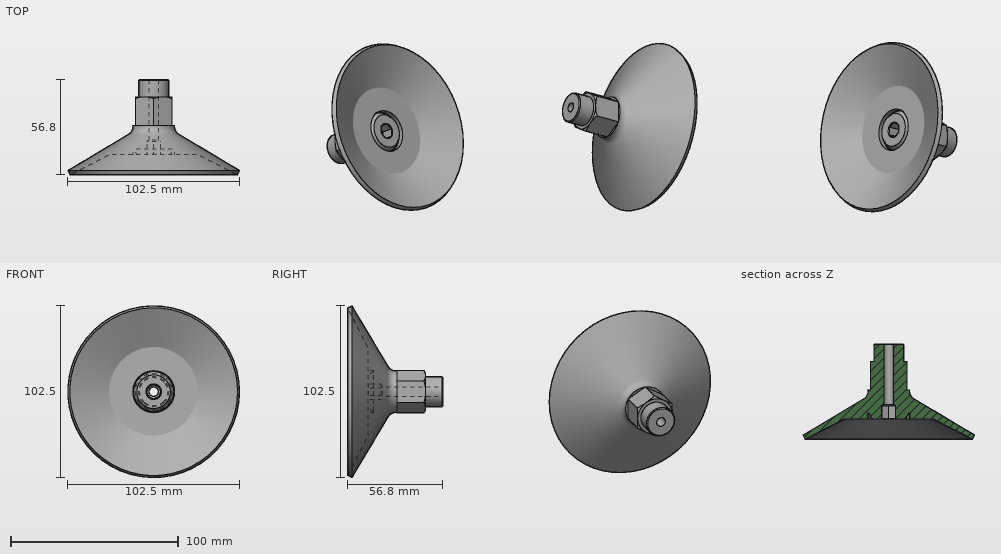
import cadquery as cq
import math

total_length = 56.8
cup_diameter = 102.49
lip_diameter = 100.0
lip_height = 2.6

collar_diameter = 25.0
collar_top = 29.5
collar_length = 0.95
neck_radius = 5.0
cone_angle = math.radians(30.8)

hex_across_flats = 22.0
hex_length = 17.0
hex_chamfer_angle = math.radians(30)

spigot_diameter = 18.0
spigot_chamfer = 0.6

plate_diameter = 52.5
plate_recess_diameter = 53.3
plate_depth = 12.0
plate_recess = 0.1

groove_outer_diameter = collar_diameter
groove_floor_diameter = 24.0
groove_face_diameter = 20.0
groove_depth = 3.5

bore_diameter = 5.5
socket_across_flats = 8.0
socket_depth = 8.0
socket_mouth_depth = 0.45
drill_point_angle = math.radians(59)

hex_top = collar_top + hex_length
neck_top = collar_top - collar_length


def revolve_about_y(profile):
    return profile.close().revolve(360, (0, 0, 0), (0, 1, 0))


def hexagon_prism(across_flats, start, length):
    """Hexagon along +Y with corners towards +Z and -Z."""
    corner_diameter = 2 * across_flats / math.sqrt(3)
    return (
        cq.Workplane("XZ", origin=(0, start, 0))
        .transformed(rotate=(0, 0, 90))
        .polygon(6, corner_diameter)
        .extrude(-length)
    )


def make_cup():
    """Conical cup: hollow front with a slightly recessed plate, beveled lip, filleted neck."""
    cup_radius = cup_diameter / 2
    collar_radius = collar_diameter / 2
    sweep = math.pi / 2 - cone_angle
    neck_center = collar_radius + neck_radius

    def neck_point(angle):
        return (neck_center - neck_radius * math.cos(angle), neck_top - neck_radius * math.sin(angle))

    return revolve_about_y(
        cq.Workplane("XY")
        .moveTo(0, plate_depth)
        .lineTo(plate_diameter / 2, plate_depth)
        .lineTo(plate_recess_diameter / 2, plate_depth - plate_recess)
        .lineTo(lip_diameter / 2, 0)
        .lineTo(cup_radius, lip_height)
        .lineTo(*neck_point(sweep))
        .threePointArc(neck_point(sweep / 2), neck_point(0))
        .lineTo(collar_radius, collar_top)
        .lineTo(0, collar_top)
    )


def make_hexagon():
    """Hexagon with corners towards +Z and -Z, its far corners cut by a cone."""
    corner_radius = hex_across_flats / math.sqrt(3)
    flat_radius = hex_across_flats / 2
    chamfer_drop = (corner_radius - flat_radius) * math.tan(hex_chamfer_angle)
    prism = hexagon_prism(hex_across_flats, collar_top, hex_length)
    envelope = revolve_about_y(
        cq.Workplane("XY")
        .moveTo(0, collar_top)
        .lineTo(corner_radius, collar_top)
        .lineTo(corner_radius, hex_top - chamfer_drop)
        .lineTo(flat_radius, hex_top)
        .lineTo(0, hex_top)
    )
    return prism.intersect(envelope)


def make_spigot():
    """Round spigot with a chamfered end."""
    return (
        cq.Workplane("XZ", origin=(0, hex_top, 0))
        .circle(spigot_diameter / 2)
        .extrude(hex_top - total_length)
        .faces(">Y")
        .chamfer(spigot_chamfer)
    )


def make_groove():
    """Ring groove in the plate: straight outer wall, conical inner wall."""
    floor = plate_depth + groove_depth
    return revolve_about_y(
        cq.Workplane("XY")
        .moveTo(groove_face_diameter / 2, plate_depth)
        .lineTo(groove_outer_diameter / 2, plate_depth)
        .lineTo(groove_outer_diameter / 2, floor)
        .lineTo(groove_floor_diameter / 2, floor)
    )


def make_socket():
    """Hexagon socket with a conical mouth, corners towards +Z and -Z."""
    corner_radius = socket_across_flats / math.sqrt(3)
    flat_radius = socket_across_flats / 2
    socket = hexagon_prism(socket_across_flats, plate_depth, socket_depth)
    mouth = revolve_about_y(
        cq.Workplane("XY")
        .moveTo(0, plate_depth)
        .lineTo(corner_radius, plate_depth)
        .lineTo(flat_radius, plate_depth + socket_mouth_depth)
        .lineTo(0, plate_depth + socket_mouth_depth)
    )
    return socket.union(mouth)


def make_bore():
    """Through bore, widened by a drill point at the socket floor."""
    bore_radius = bore_diameter / 2
    drill_radius = socket_across_flats / 2
    socket_floor = plate_depth + socket_depth
    point_length = (drill_radius - bore_radius) / math.tan(drill_point_angle)
    return revolve_about_y(
        cq.Workplane("XY")
        .moveTo(0, plate_depth)
        .lineTo(drill_radius, plate_depth)
        .lineTo(drill_radius, socket_floor)
        .lineTo(bore_radius, socket_floor + point_length)
        .lineTo(bore_radius, total_length)
        .lineTo(0, total_length)
    )


body = make_cup().union(make_hexagon()).union(make_spigot())
result = body.cut(make_groove()).cut(make_socket()).cut(make_bore())